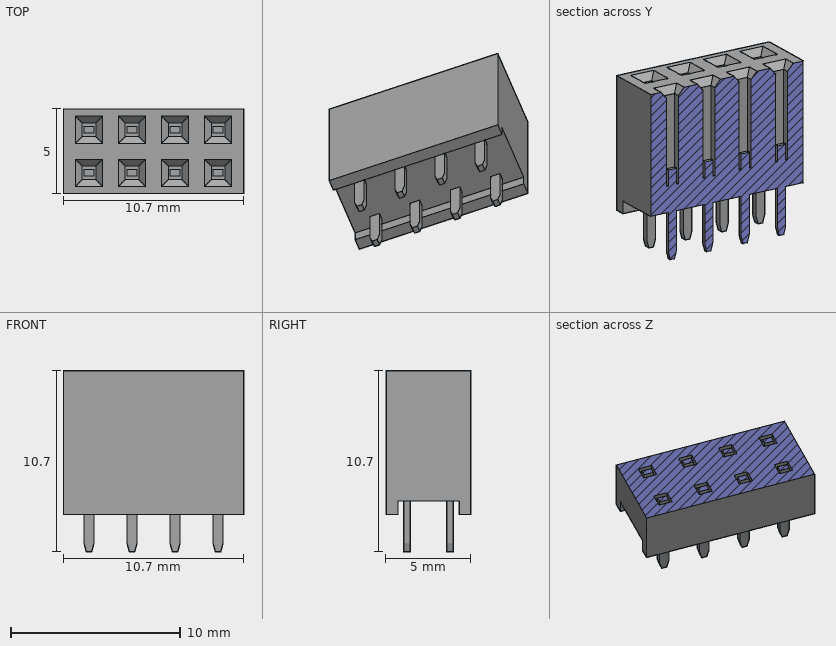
import cadquery as cq

housing_length = 10.66
housing_width = 5.0
housing_height = 8.5

foot_width = 0.7
channel_height = 0.8

column_count = 4
row_count = 2
pitch = 2.54

socket_size = 0.8
lead_in_size = 1.6
lead_in_depth = 0.45
socket_depth = 6.0

pin_width = 0.6
pin_thickness = 0.4
pin_tip_width = 0.32
pin_tip_height = 0.5
pin_tail_length = 2.2
pin_stand_height = 1.0

socket_floor_z = housing_height - socket_depth


def make_housing():
    block = cq.Workplane("XY").box(
        housing_length, housing_width, housing_height, centered=(True, True, False)
    )
    channel = cq.Workplane("XY").box(
        housing_length,
        housing_width - 2 * foot_width,
        channel_height,
        centered=(True, True, False),
    )
    return block.cut(channel)


def make_socket():
    """Space of one socket: a square well below a tapered lead-in."""
    well = (
        cq.Workplane("XY")
        .workplane(offset=socket_floor_z)
        .rect(socket_size, socket_size)
        .extrude(socket_depth - lead_in_depth)
    )
    lead_in = (
        cq.Workplane("XY")
        .workplane(offset=housing_height - lead_in_depth)
        .rect(socket_size, socket_size)
        .workplane(offset=lead_in_depth)
        .rect(lead_in_size, lead_in_size)
        .loft(ruled=True)
    )
    return well.union(lead_in)


def make_pin():
    """One flat pin, its sides tapered to a narrow tip at the bottom."""
    tip_z = -pin_tail_length
    shoulder_z = tip_z + pin_tip_height
    top_z = socket_floor_z + pin_stand_height
    return (
        cq.Workplane("XZ")
        .moveTo(-pin_tip_width / 2, tip_z)
        .lineTo(pin_tip_width / 2, tip_z)
        .lineTo(pin_width / 2, shoulder_z)
        .lineTo(pin_width / 2, top_z)
        .lineTo(-pin_width / 2, top_z)
        .lineTo(-pin_width / 2, shoulder_z)
        .close()
        .extrude(pin_thickness / 2, both=True)
    )


def contact_positions():
    first_x = -(column_count - 1) * pitch / 2
    first_y = -(row_count - 1) * pitch / 2
    return [
        (first_x + column * pitch, first_y + row * pitch)
        for column in range(column_count)
        for row in range(row_count)
    ]


result = make_housing()
socket = make_socket()
pin = make_pin()
for x, y in contact_positions():
    result = result.cut(socket.translate((x, y, 0)))
    result = result.union(pin.translate((x, y, 0)))